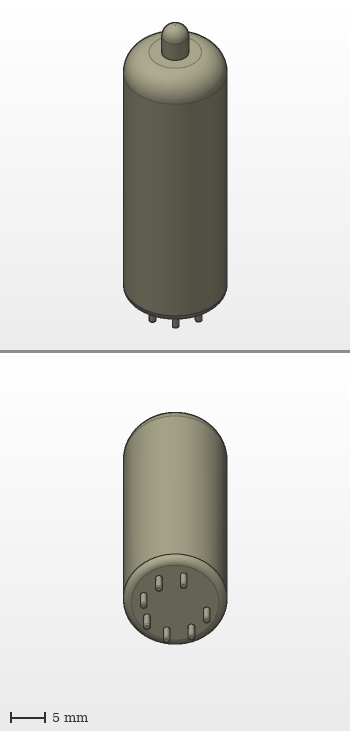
import cadquery as cq
import math

total_height = 52.3
tube_diameter = 15.2

pin_length = 3.0
pin_diameter = 1.0
pin_tip_round = 0.2
pin_circle_diameter = 9.55
pin_positions = 8
base_round = 1.2

tip_height = 4.95
tip_diameter = 4.0
tip_round = 1.95
shoulder_round = 3.75

base_top = pin_length + base_round
shoulder_top = total_height - tip_height


def make_envelope():
    """Glass cylinder with a rounded shoulder and a domed tip."""
    cylinder = (
        cq.Workplane("XY", origin=(0, 0, base_top))
        .circle(tube_diameter / 2)
        .extrude(shoulder_top - base_top)
        .faces(">Z").edges().fillet(shoulder_round)
    )
    tip = (
        cq.Workplane("XY", origin=(0, 0, shoulder_top))
        .circle(tip_diameter / 2)
        .extrude(tip_height)
        .faces(">Z").edges().fillet(tip_round)
    )
    return cylinder.union(tip)


def make_pin(angle):
    """Contact pin with a rounded lower end, at an angle in degrees from +Y."""
    radius = pin_circle_diameter / 2
    x = radius * math.sin(math.radians(angle))
    y = radius * math.cos(math.radians(angle))
    return (
        cq.Workplane("XY", origin=(x, y, 0))
        .circle(pin_diameter / 2)
        .extrude(pin_length)
        .faces("<Z").edges().fillet(pin_tip_round)
    )


def make_base():
    """Round-edged base carrying the seven pins."""
    base_radius = tube_diameter / 2
    flat_radius = base_radius - base_round
    arc_x = flat_radius + base_round * math.sin(math.radians(45))
    arc_z = base_top - base_round * math.cos(math.radians(45))
    base = (
        cq.Workplane("XZ")
        .moveTo(0, pin_length)
        .lineTo(flat_radius, pin_length)
        .threePointArc((arc_x, arc_z), (base_radius, base_top))
        .lineTo(0, base_top)
        .close()
        .revolve(360, (0, 0, 0), (0, 1, 0))
    )
    for position in range(1, pin_positions):
        base = base.union(make_pin(position * 360 / pin_positions))
    return base


envelope = make_envelope()
base_with_pins = make_base()
result = cq.Compound.makeCompound([envelope.val(), base_with_pins.val()])